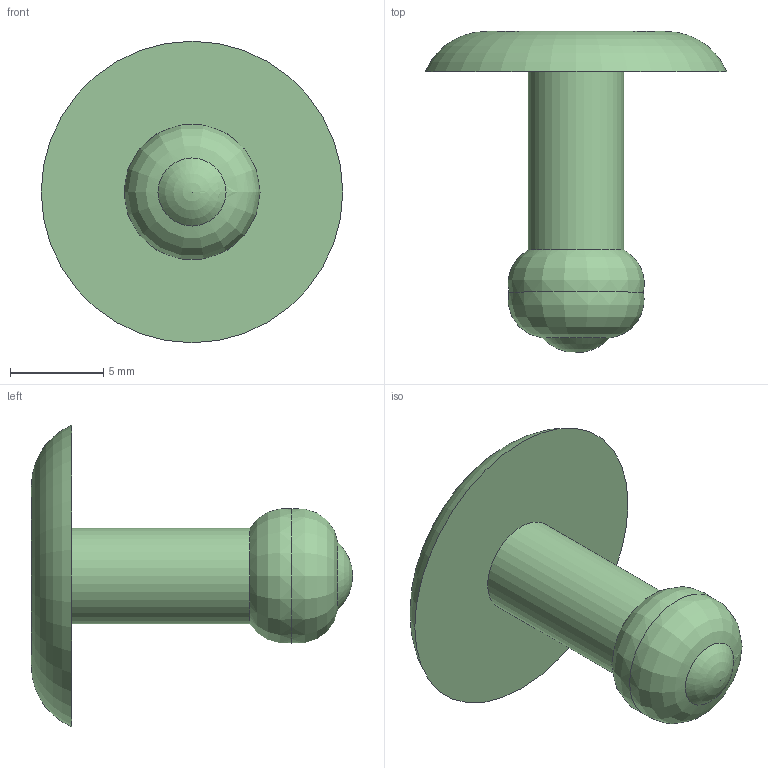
import cadquery as cq
import math

total_length = 17.18

head_radius = 16.13 / 2
head_thickness = 2.15
head_round_radius = 3.5

shank_radius = 2.55
shank_length = 9.53

bulb_radius = 3.65
bulb_tube_radius = 2.05
bulb_length = 4.7
waist_from_shank = 2.26

tip_base_radius = 1.82

bulb_start = -shank_length
waist = bulb_start - waist_from_shank
bulb_end = bulb_start - bulb_length
tip_end = head_thickness - total_length

bulb_ring_radius = bulb_radius - bulb_tube_radius


def arc_middle(center, radius, start, end):
    """Middle point of the shorter arc between two points around a center."""
    start_angle = math.atan2(start[1] - center[1], start[0] - center[0])
    end_angle = math.atan2(end[1] - center[1], end[0] - center[0])
    angle = (start_angle + end_angle) / 2
    return (center[0] + radius * math.cos(angle), center[1] + radius * math.sin(angle))


def head():
    """Flat-topped disc with a large rounded rim that meets the underside at a sharp edge."""
    drop = head_round_radius - head_thickness
    flat_radius = head_radius - math.sqrt(head_round_radius**2 - drop**2)
    center = (flat_radius, -drop)
    rim = (head_radius, 0)
    flat_edge = (flat_radius, head_thickness)
    profile = (
        cq.Workplane("XY")
        .lineTo(*rim)
        .threePointArc(arc_middle(center, head_round_radius, rim, flat_edge), flat_edge)
        .lineTo(0, head_thickness)
        .close()
    )
    return revolve_about_y(profile)


def shank():
    """Plain cylinder from the head to the bulb."""
    profile = (
        cq.Workplane("XY")
        .lineTo(shank_radius, 0)
        .lineTo(shank_radius, bulb_start)
        .lineTo(0, bulb_start)
        .close()
    )
    return revolve_about_y(profile)


def bulb_and_tip():
    """Rounded bulb with a shallow waist, closed by a spherical tip."""
    upper_rise = math.sqrt(bulb_tube_radius**2 - (shank_radius - bulb_ring_radius) ** 2)
    upper_center = (bulb_ring_radius, bulb_start - upper_rise)
    waist_rise = upper_center[1] - waist
    waist_radius = bulb_ring_radius + math.sqrt(bulb_tube_radius**2 - waist_rise**2)

    lower_rise = math.sqrt(bulb_tube_radius**2 - (tip_base_radius - bulb_ring_radius) ** 2)
    lower_center = (bulb_ring_radius, bulb_end + lower_rise)

    tip_height = bulb_end - tip_end
    tip_sphere_radius = (tip_base_radius**2 + tip_height**2) / (2 * tip_height)
    tip_center = (0, tip_end + tip_sphere_radius)

    shank_edge = (shank_radius, bulb_start)
    waist_edge = (waist_radius, waist)
    tip_edge = (tip_base_radius, bulb_end)
    apex = (0, tip_end)
    profile = (
        cq.Workplane("XY")
        .moveTo(0, bulb_start)
        .lineTo(*shank_edge)
        .threePointArc(arc_middle(upper_center, bulb_tube_radius, shank_edge, waist_edge), waist_edge)
        .threePointArc(arc_middle(lower_center, bulb_tube_radius, waist_edge, tip_edge), tip_edge)
        .threePointArc(arc_middle(tip_center, tip_sphere_radius, tip_edge, apex), apex)
        .close()
    )
    return revolve_about_y(profile)


def revolve_about_y(profile):
    """Full turn of a half profile about the part's axis."""
    return profile.revolve(360, (0, 0, 0), (0, 1, 0))


result = head().union(shank()).union(bulb_and_tip())